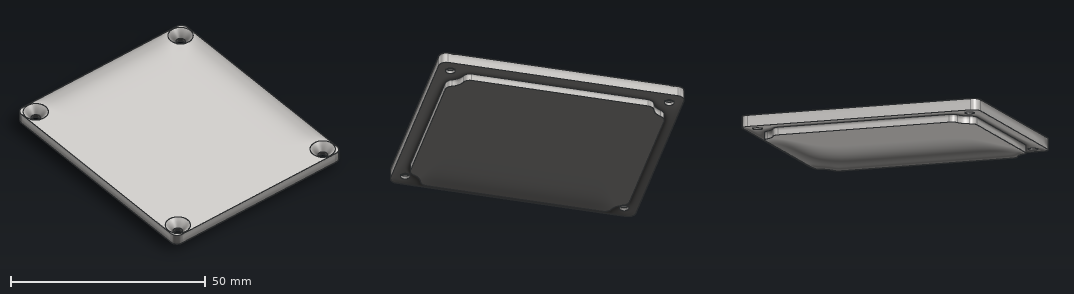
import cadquery as cq

length = 65.0
width = 55.0
total_height = 5.0
plate_thickness = 3.0
corner_radius = 2.0

lip_height = total_height - plate_thickness
lip_inset = 3.5
lip_length = length - 2 * lip_inset
lip_width = width - 2 * lip_inset
clearance_radius = 3.95
lip_edge_radius = 2.0

hole_diameter = 2.5
countersink_diameter = 6.5
countersink_angle = 90

screw_points = [(x * lip_length / 2, y * lip_width / 2) for x in (-1, 1) for y in (-1, 1)]


def make_plate():
    """Rounded plate with its underside at the top of the lip."""
    plate = cq.Workplane("XY").workplane(offset=lip_height).rect(length, width)
    return plate.extrude(plate_thickness).edges("|Z").fillet(corner_radius)


def make_lip():
    """Rectangular lip with scooped corners and rounded vertical edges."""
    lip = cq.Workplane("XY").rect(lip_length, lip_width).extrude(lip_height)
    clearances = cq.Workplane("XY").pushPoints(screw_points).circle(clearance_radius).extrude(lip_height)
    return lip.cut(clearances).edges("|Z").fillet(lip_edge_radius)


def drill_screw_holes(body):
    """Cut the countersunk through holes from the top face."""
    top = body.faces(">Z").workplane(origin=(0, 0, total_height))
    return top.pushPoints(screw_points).cskHole(hole_diameter, countersink_diameter, countersink_angle)


result = drill_screw_holes(make_plate().union(make_lip()))